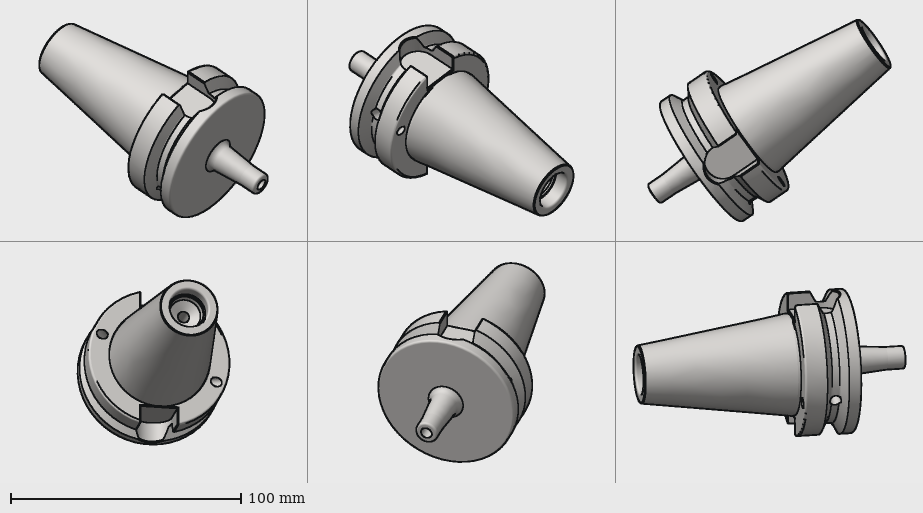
import cadquery as cq
import math

AXIS_START = (0, 0, 0)
AXIS_END = (1, 0, 0)
OPPOSITE_TURNS = (0, 180)
TOLERANCE = 0.01

GAUGE_RADIUS = 44.45 / 2
TAPER_LENGTH = 65.4
TAPER_SLOPE = 7 / 48
TAPER_CHAMFER_LENGTH = 0.5
TAPER_CHAMFER_HEIGHT = 0.3
TAPER_OVERRUN = 0.65
COLLAR_LENGTH = 0.9
COLLAR_DROP = 0.15

FLANGE_START = 2.0
FLANGE_END = 27.0
FRONT_RIM_RADIUS = 31.3
REAR_RIM_RADIUS = 31.5
RIM_FILLET = 1.0
GROOVE_CENTER = 16.6
GROOVE_FLOOR_WIDTH = 4.0
GROOVE_FLOOR_RADIUS = 26.5
GROOVE_FLANK_ANGLE = 30.0
GROOVE_CORNER_FILLET = 0.6

SLOT_WIDTH = 16.1
SLOT_END = 23.3
SLOT_FLOOR_HEIGHT = 22.5
SLOT_CHAMFER = 0.5

COOLANT_ANGLE = 20.2
COOLANT_FACE_RADIUS = 26.9
COOLANT_ELBOW_RADIUS = 16.6
INCLINED_HOLE_DIAMETER = 4.1
RADIAL_HOLE_DIAMETER = 5.0
RADIAL_HOLE_STEP_RADIUS = 19.5
RADIAL_HOLE_NARROW_DIAMETER = 4.4

NOSE_END = 52.0
NOSE_TIP_RADIUS = 5.0
NOSE_TIP_LENGTH = 8.0
NOSE_TIP_FILLET = 1.0
NOSE_CONE_START = 29.9
NOSE_CONE_RADIUS = 6.2
NOSE_ROOT_RADIUS = 8.0

BORE_MOUTH_RADIUS = 9.5
COUNTERBORE_RADIUS = 8.5
COUNTERBORE_DEPTH = 6.7
RELIEF_RADIUS = 7.75
RELIEF_DEPTH = 7.9
NECK_RADIUS = 7.0
NECK_DEPTH = 10.1
DRILL_TIP_ANGLE = 60.0
THROUGH_RADIUS = 2.5


def revolve_about_x(profile):
    return profile.close().revolve(360, AXIS_START, AXIS_END)


def make_taper():
    start = -TAPER_LENGTH
    chamfer_end = start + TAPER_CHAMFER_LENGTH
    collar_end = TAPER_OVERRUN + COLLAR_LENGTH

    def cone_radius(x):
        return GAUGE_RADIUS + x * TAPER_SLOPE

    collar_radius = cone_radius(TAPER_OVERRUN)
    profile = (
        cq.Workplane("XZ")
        .moveTo(start, 0)
        .lineTo(start, cone_radius(start) - TAPER_CHAMFER_HEIGHT)
        .lineTo(chamfer_end, cone_radius(chamfer_end))
        .lineTo(TAPER_OVERRUN, collar_radius)
        .lineTo(collar_end, collar_radius)
        .lineTo(FLANGE_START, collar_radius - COLLAR_DROP)
        .lineTo(FLANGE_START, 0)
    )
    return revolve_about_x(profile)


def make_flange_blank():
    blank = revolve_about_x(
        cq.Workplane("XZ")
        .moveTo(FLANGE_START, 0)
        .lineTo(FLANGE_START, FRONT_RIM_RADIUS)
        .lineTo(GROOVE_CENTER, FRONT_RIM_RADIUS)
        .lineTo(GROOVE_CENTER, REAR_RIM_RADIUS)
        .lineTo(FLANGE_END, REAR_RIM_RADIUS)
        .lineTo(FLANGE_END, 0)
    )
    return blank.faces("<X or >X").edges().fillet(RIM_FILLET)


def make_gripper_groove():
    flank_slope = math.tan(math.radians(GROOVE_FLANK_ANGLE))
    floor_start = GROOVE_CENTER - GROOVE_FLOOR_WIDTH / 2
    floor_end = GROOVE_CENTER + GROOVE_FLOOR_WIDTH / 2
    flank_run = (REAR_RIM_RADIUS - GROOVE_FLOOR_RADIUS) * flank_slope
    groove = revolve_about_x(
        cq.Workplane("XZ")
        .moveTo(floor_start, GROOVE_FLOOR_RADIUS)
        .lineTo(floor_end, GROOVE_FLOOR_RADIUS)
        .lineTo(floor_end + flank_run, REAR_RIM_RADIUS)
        .lineTo(floor_start - flank_run, REAR_RIM_RADIUS)
    )
    floor = cq.selectors.RadiusNthSelector(0)
    return groove.edges("%CIRCLE").edges(floor).fillet(GROOVE_CORNER_FILLET)


def slot_outline(half_width, start, end):
    """Closed outline in the XY plane: open-ended slot with a full round at its far end."""
    arc_center = end - half_width
    return (
        cq.Workplane("XY")
        .moveTo(start, -half_width)
        .lineTo(arc_center, -half_width)
        .threePointArc((end, 0), (arc_center, half_width))
        .lineTo(start, half_width)
        .close()
    )


def make_drive_slot():
    height = REAR_RIM_RADIUS - SLOT_FLOOR_HEIGHT
    outline = slot_outline(SLOT_WIDTH / 2, FLANGE_START, SLOT_END)
    return outline.extrude(height).translate((0, 0, SLOT_FLOOR_HEIGHT))


def radial_cylinder(diameter, inner_radius, outer_radius):
    base = cq.Vector(GROOVE_CENTER, -inner_radius, 0)
    return cq.Solid.makeCylinder(diameter / 2, outer_radius - inner_radius, base, cq.Vector(0, -1, 0))


def make_coolant_passage():
    """Inclined hole from the flange face meeting a radial hole from the groove floor (-Y side)."""
    drop = COOLANT_FACE_RADIUS - COOLANT_ELBOW_RADIUS
    run = GROOVE_CENTER - FLANGE_START
    direction = cq.Vector(run, drop, 0).normalized()
    length = math.hypot(run, drop)
    elbow = cq.Vector(GROOVE_CENTER, -COOLANT_ELBOW_RADIUS, 0)
    inclined = cq.Solid.makeCylinder(
        INCLINED_HOLE_DIAMETER / 2, 2 * length, elbow - direction * (2 * length), direction
    )
    narrow_end = COOLANT_ELBOW_RADIUS - INCLINED_HOLE_DIAMETER / 2
    narrow = radial_cylinder(RADIAL_HOLE_NARROW_DIAMETER, narrow_end, REAR_RIM_RADIUS)
    wide = radial_cylinder(RADIAL_HOLE_DIAMETER, RADIAL_HOLE_STEP_RADIUS, REAR_RIM_RADIUS)
    passage = cq.Workplane(inclined).union(cq.Workplane(narrow)).union(cq.Workplane(wide))
    return passage.rotate(AXIS_START, AXIS_END, COOLANT_ANGLE)


def is_slot_mouth_edge(edge):
    """True where a drive slot opens into the flange face or a rim, not into the groove flanks."""
    box = edge.BoundingBox()
    within_slot = max(abs(box.ymin), abs(box.ymax)) < SLOT_WIDTH / 2 + TOLERANCE
    above_floor = min(abs(box.zmin), abs(box.zmax)) > SLOT_FLOOR_HEIGHT - TOLERANCE
    if not (within_slot and above_floor):
        return False
    middle = edge.positionAt(0.5)
    middle_radius = math.hypot(middle.y, middle.z)
    on_face = box.xmax < FLANGE_START + TOLERANCE
    on_front_rim = (
        middle.x < GROOVE_CENTER
        and edge.geomType() != "HYPERBOLA"
        and abs(middle_radius - FRONT_RIM_RADIUS) < RIM_FILLET
    )
    on_rear_rim = (
        GROOVE_CENTER < middle.x
        and box.xmax < SLOT_END + TOLERANCE
        and abs(middle_radius - REAR_RIM_RADIUS) < TOLERANCE
    )
    return on_face or on_front_rim or on_rear_rim


def make_flange():
    flange = make_flange_blank().cut(make_gripper_groove())
    slot = make_drive_slot()
    for turn in OPPOSITE_TURNS:
        flange = flange.cut(slot.rotate(AXIS_START, AXIS_END, turn))
    mouth_edges = [edge for edge in flange.edges().vals() if is_slot_mouth_edge(edge)]
    flange = flange.newObject(mouth_edges).chamfer(SLOT_CHAMFER)
    passage = make_coolant_passage()
    for turn in OPPOSITE_TURNS:
        flange = flange.cut(passage.rotate(AXIS_START, AXIS_END, turn))
    return flange


def make_nose():
    tip_start = NOSE_END - NOSE_TIP_LENGTH
    nose = revolve_about_x(
        cq.Workplane("XZ")
        .moveTo(NOSE_END, 0)
        .lineTo(NOSE_END, NOSE_TIP_RADIUS)
        .lineTo(tip_start, NOSE_TIP_RADIUS)
        .lineTo(NOSE_CONE_START, NOSE_CONE_RADIUS)
        .tangentArcPoint((FLANGE_END, NOSE_ROOT_RADIUS), relative=False)
        .lineTo(FLANGE_END, 0)
    )
    return nose.faces(">X").edges().fillet(NOSE_TIP_FILLET)


def make_bore():
    start = -TAPER_LENGTH
    counterbore_end = start + COUNTERBORE_DEPTH
    neck_end = start + NECK_DEPTH
    mouth_fillet = BORE_MOUTH_RADIUS - COUNTERBORE_RADIUS
    mouth_end = start + mouth_fillet
    relief_end = start + RELIEF_DEPTH
    tip_length = (NECK_RADIUS - THROUGH_RADIUS) / math.tan(math.radians(DRILL_TIP_ANGLE))
    return revolve_about_x(
        cq.Workplane("XZ")
        .moveTo(start, 0)
        .lineTo(start, BORE_MOUTH_RADIUS)
        .radiusArc((mouth_end, COUNTERBORE_RADIUS), -mouth_fillet)
        .lineTo(counterbore_end, COUNTERBORE_RADIUS)
        .lineTo(counterbore_end, RELIEF_RADIUS)
        .lineTo(relief_end, RELIEF_RADIUS)
        .lineTo(neck_end, NECK_RADIUS)
        .lineTo(neck_end + tip_length, THROUGH_RADIUS)
        .lineTo(NOSE_END, THROUGH_RADIUS)
        .lineTo(NOSE_END, 0)
    )


result = make_flange().union(make_taper()).union(make_nose()).cut(make_bore())